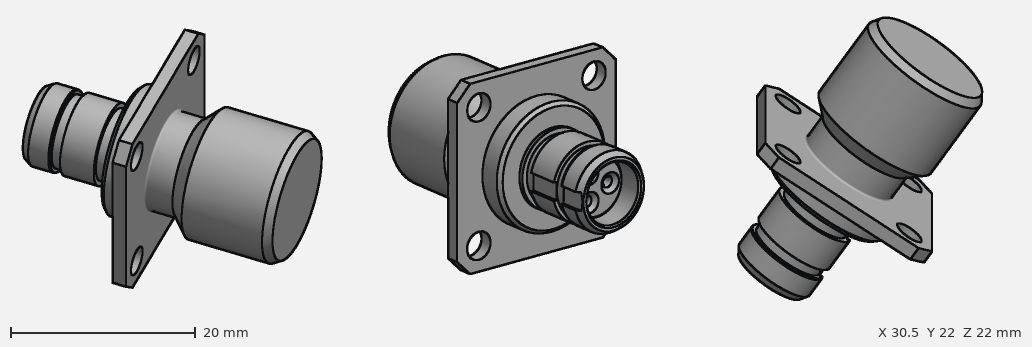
import cadquery as cq
import math

length = 30.5
nose_chamfer_end = 0.85
nose_back_chamfer_start = 3.23
front_groove_start = 3.42
front_groove_end = 4.6
land_end = 8.57
step_ring_start = 9.95
collar_start = 10.45
plate_front = 13.42
plate_back = 15.0
flare_start = 18.2
rear_chamfer_start = 29.52

nose_radius = 4.73
nose_face_radius = 4.2
nose_back_radius = 4.67
front_groove_radius = 4.2
rear_groove_radius = 4.12
collar_radius = 7.5
collar_chamfer = 0.45
neck_radius = 5.65
neck_fillet = 0.25
rear_face_radius = 6.9

plate_side = 22.0
plate_corner_chamfer = 1.8
mount_hole_spacing = 15.98
mount_hole_diameter = 3.23

keyway_width = 2.15
keyway_floor = 4.27

mouth_radius = 3.8
bore_radius = 3.6
mouth_chamfer = 0.25
bore_depth = 3.0
floor_rim_chamfer = 0.15

contact_count = 3
first_contact_angle = math.pi
contact_circle_radius = 1.9
funnel_radius = 1.22
funnel_depth = 0.55
contact_radius = 0.5
contact_lip_rounding = 0.18
contact_depth = 1.83


def turned_body():
    flare_end = flare_start + collar_radius - neck_radius
    neck_start = plate_back + neck_fillet
    profile = (
        cq.Workplane("XY")
        .moveTo(0, 0)
        .lineTo(0, nose_face_radius)
        .lineTo(nose_chamfer_end, nose_radius)
        .lineTo(nose_back_chamfer_start, nose_radius)
        .lineTo(front_groove_start, nose_back_radius)
        .lineTo(front_groove_start, front_groove_radius)
        .lineTo(front_groove_end, front_groove_radius)
        .lineTo(front_groove_end, nose_radius)
        .lineTo(land_end, nose_radius)
        .lineTo(land_end, rear_groove_radius)
        .lineTo(step_ring_start, rear_groove_radius)
        .lineTo(step_ring_start, nose_radius)
        .lineTo(collar_start, nose_radius)
        .lineTo(collar_start, collar_radius - collar_chamfer)
        .lineTo(collar_start + collar_chamfer, collar_radius)
        .lineTo(plate_back, collar_radius)
        .lineTo(plate_back, neck_radius + neck_fillet)
        .radiusArc((neck_start, neck_radius), -neck_fillet)
        .lineTo(flare_start, neck_radius)
        .lineTo(flare_end, collar_radius)
        .lineTo(rear_chamfer_start, collar_radius)
        .lineTo(length, rear_face_radius)
        .lineTo(length, 0)
        .close()
    )
    return profile.revolve(360, (0, 0, 0), (1, 0, 0))


def mounting_plate():
    return (
        cq.Workplane("YZ", origin=(plate_front, 0, 0))
        .rect(plate_side, plate_side)
        .extrude(plate_back - plate_front)
        .edges("|X")
        .chamfer(plate_corner_chamfer)
        .faces("<X")
        .workplane()
        .rect(mount_hole_spacing, mount_hole_spacing, forConstruction=True)
        .vertices()
        .hole(mount_hole_diameter)
    )


def keyway():
    depth = nose_radius - keyway_floor
    return (
        cq.Workplane("XY", origin=(0, keyway_floor, 0))
        .box(land_end, depth, keyway_width, centered=(False, False, True))
    )


def socket_bore():
    profile = (
        cq.Workplane("XY")
        .moveTo(0, 0)
        .lineTo(0, mouth_radius)
        .lineTo(mouth_chamfer, bore_radius)
        .lineTo(bore_depth + floor_rim_chamfer, bore_radius)
        .lineTo(bore_depth, bore_radius - floor_rim_chamfer)
        .lineTo(bore_depth, 0)
        .close()
    )
    return profile.revolve(360, (0, 0, 0), (1, 0, 0))


def contact_cavity(index):
    angle = first_contact_angle + index * 2 * math.pi / contact_count
    y = contact_circle_radius * math.cos(angle)
    z = contact_circle_radius * math.sin(angle)
    funnel_end = bore_depth + funnel_depth
    profile = (
        cq.Workplane("XY")
        .moveTo(bore_depth, 0)
        .lineTo(bore_depth, funnel_radius)
        .lineTo(funnel_end, contact_radius + contact_lip_rounding)
        .radiusArc((funnel_end + contact_lip_rounding, contact_radius), -contact_lip_rounding)
        .lineTo(bore_depth + contact_depth, contact_radius)
        .lineTo(bore_depth + contact_depth, 0)
        .close()
    )
    return profile.revolve(360, (0, 0, 0), (1, 0, 0)).translate((0, y, z))


result = turned_body().union(mounting_plate()).cut(keyway()).cut(socket_bore())
for index in range(contact_count):
    result = result.cut(contact_cavity(index))